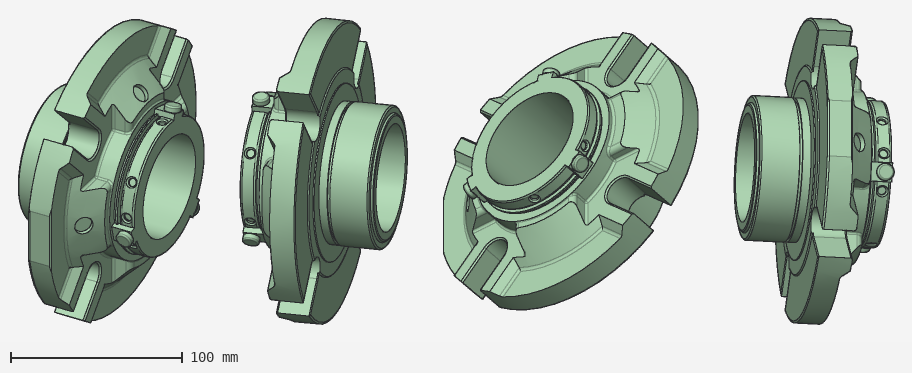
import cadquery as cq
import math


bore_radius = 63.5 / 2
sleeve_radius = 66.65 / 2
nose_face_radius = 36.4
nose_radius = 76.17 / 2
nose_lip_radius = 74.6 / 2
nose_lip_x = 0.4
barrel_start = 1.6
barrel_radius = 84.45 / 2
barrel_chamfer = 0.9
ring_groove_start = 25.0
ring_groove_width = 1.7
ring_groove_radius = 81.1 / 2
rear_barrel_radius = 84.12 / 2

inner_step_x = 31.6
inner_step_radius = 104.78 / 2
outer_step_x = 32.4
outer_step_radius = 61.5
outer_step_chamfer = 0.8
flange_back_x = 33.2
flange_front_x = 48.3
flange_radius = 177.55 / 2
flat_distance = 175.92 - flange_radius
flat_chamfer = 1.0
back_chamfer_depth = 1.2
back_chamfer_width = 0.5

bolt_angles = [45, 135, 225, 315]
slot_width = 18.0
slot_centre_radius = 64.2
lug_top_x = 53.6
lug_top_width = 36.6
slot_chamfer = 1.0
foot_fillet = 3.0

hub_radius = 48.2
hub_end_x = 66.0
cone_radius_at_lug_top = 65.0
arm_width = 43.6
arm_corner_radius = 3.5
pocket_fillet = 1.5
hub_core_radius = 30.0
arm_ends = {0: 62.0, 90: 65.2, 180: 65.4, 270: 65.8}

port_diameter = 11.0
port_depth = 3.0
side_port_x = 56.5
top_port_x = 60.3

neck_radius = 85.67 / 2
rim_radius = 87.2 / 2
rim_start_x = 67.4
rim_end_x = 68.6
collar_start_x = 69.8
collar_end_x = 79.1
collar_radius = 85.67 / 2
collar_chamfer_length = 1.2
collar_chamfer_drop = 0.5
collar_middle_x = (collar_start_x + collar_end_x) / 2

set_screw_angles = [30, 90, 150, 180, 210, 270, 330]
set_screw_diameter = 4.92
set_screw_depth = 2.2
countersink_diameter = 7.0

clip_angles = [75, 195, 315]
clip_width = 11.2
clip_inner = 42.0
clip_outer = 46.0
clip_screw_radius = 5.0
clip_screw_top = 49.7
clip_screw_round = 1.0
clip_screw_x = 79.8 - clip_screw_radius


def turned(profile):
    """Solid of revolution about X from (x, radius) points."""
    return cq.Workplane("XY").polyline(profile).close().revolve(360, (0, 0, 0), (1, 0, 0))


def about_axis(shape, angle):
    """Turn a shape about X; a feature on +Y at 0 degrees is on +Z at 90."""
    return shape.rotate((0, 0, 0), (1, 0, 0), angle)


def disc(start, end, radius):
    return cq.Workplane("YZ", origin=(start, 0, 0)).circle(radius).extrude(end - start)


def block(start, end, inner, outer, width):
    """Box on the +Y side from the inner to the outer distance, centred on Z."""
    return cq.Workplane("XY").box(end - start, outer - inner, width, centered=False).translate(
        (start, inner, -width / 2)
    )


def radial_cylinder(x, inner, outer, radius):
    """Cylinder along +Y from the inner to the outer distance."""
    return cq.Workplane("XZ", origin=(x, inner, 0)).circle(radius).extrude(inner - outer)


def make_sleeve():
    groove_end = ring_groove_start + ring_groove_width
    return turned([
        (0, 0),
        (0, nose_face_radius),
        (nose_lip_x, nose_lip_radius),
        (barrel_start, nose_radius),
        (barrel_start, barrel_radius - barrel_chamfer),
        (barrel_start + barrel_chamfer, barrel_radius),
        (ring_groove_start, barrel_radius),
        (ring_groove_start, ring_groove_radius),
        (groove_end, ring_groove_radius),
        (groove_end, rear_barrel_radius),
        (flange_back_x, rear_barrel_radius),
        (flange_back_x, sleeve_radius),
        (collar_end_x, sleeve_radius),
        (collar_end_x, 0),
    ])


def slot_outline(x, half_width):
    """Outline of the +Y slot at a station along X, running out past the flange rim."""
    open_end = 2 * flange_radius
    return (
        cq.Workplane("YZ", origin=(x, 0, 0))
        .moveTo(open_end, -half_width)
        .lineTo(slot_centre_radius, -half_width)
        .threePointArc((slot_centre_radius - half_width, 0), (slot_centre_radius, half_width))
        .lineTo(open_end, half_width)
        .close()
    )


def bolt_slot():
    """Open-ended slot on the +Y side through the whole gland, chamfered at the lug top."""
    straight = slot_outline(inner_step_x, slot_width / 2).extrude(lug_top_x - inner_step_x)
    mouth = slot_outline(lug_top_x - slot_chamfer, slot_width / 2).extrude(slot_chamfer, taper=-45)
    return straight.union(mouth)


def cut_bolt_slots(body):
    for angle in bolt_angles:
        body = body.cut(about_axis(bolt_slot(), angle))
    return body


def make_flange():
    plate = disc(flange_back_x, flange_front_x, flange_radius)
    flat_cutter = block(flange_back_x, flange_front_x, flat_distance, 2 * flange_radius, 2 * flange_radius)
    plate = plate.cut(about_axis(flat_cutter, 180))
    plate = plate.faces("<Y").edges(">X").chamfer(flat_chamfer)
    plate = cut_bolt_slots(plate)
    return plate.faces("<X").chamfer(back_chamfer_depth, back_chamfer_width)


def make_back_steps():
    steps = turned([
        (inner_step_x, 0),
        (inner_step_x, inner_step_radius),
        (outer_step_x, inner_step_radius),
        (outer_step_x, outer_step_radius - outer_step_chamfer),
        (flange_back_x, outer_step_radius),
        (flange_front_x, outer_step_radius),
        (flange_front_x, 0),
    ])
    return cut_bolt_slots(steps)


def foot_points(corner_distance):
    """Start, middle and end of the foot fillet, as (x, distance) points.

    corner_distance is where the sharp 45 degree slope would meet the flange face."""
    half_turn = math.radians(22.5)
    lead = foot_fillet * math.tan(half_turn)
    gap = foot_fillet * (1 / math.cos(half_turn) - 1)
    start = (flange_front_x, corner_distance + lead)
    middle = (
        flange_front_x + gap * math.cos(half_turn),
        corner_distance + gap * math.sin(half_turn),
    )
    end = (
        flange_front_x + lead * math.cos(2 * half_turn),
        corner_distance - lead * math.sin(2 * half_turn),
    )
    return start, middle, end


def make_lug():
    """Raised pad around one slot, with 45 degree flanks, trimmed to the flange rim."""
    half_top = lug_top_width / 2
    start, middle, end = foot_points(half_top + lug_top_x - flange_front_x)
    half_pad = (
        cq.Workplane("XZ")
        .moveTo(flange_front_x, 0)
        .lineTo(*start)
        .threePointArc(middle, end)
        .lineTo(lug_top_x, half_top)
        .lineTo(lug_top_x, 0)
        .close()
        .extrude(-flange_radius)
    )
    pad = half_pad.union(half_pad.mirror("XY"))
    pad = pad.intersect(disc(flange_front_x, lug_top_x, flange_radius))
    pad = pad.cut(block(flange_front_x, lug_top_x, 0, hub_radius, 2 * flange_radius))
    return pad.cut(bolt_slot())


def cone_radius(x):
    return cone_radius_at_lug_top + lug_top_x - x


def make_cone_blank():
    """Whole 45 degree hub cone, blended into the flange face."""
    start, middle, end = foot_points(cone_radius(flange_front_x))
    return (
        cq.Workplane("XY")
        .moveTo(flange_back_x, hub_core_radius)
        .lineTo(flange_back_x, inner_step_radius)
        .lineTo(flange_front_x, inner_step_radius)
        .lineTo(*start)
        .threePointArc(middle, end)
        .lineTo(hub_end_x, cone_radius(hub_end_x))
        .lineTo(hub_end_x, hub_core_radius)
        .close()
        .revolve(360, (0, 0, 0), (1, 0, 0))
    )


def arm_keeper(end_x):
    """Round-cornered slab on the +Y side covering the cone quadrant that is left standing."""
    slab = block(flange_front_x, end_x, hub_core_radius, flange_radius, arm_width)
    return slab.edges("|Y and >X").fillet(arm_corner_radius)


def is_pocket_root(edge):
    """True for the inside corners of the bolt pockets: around the core and below the arm walls."""
    tolerance = 0.01
    points = [edge.positionAt(part) for part in (0, 0.3, 0.7, 1)]
    behind_end = any(point.x < hub_end_x - tolerance for point in points)
    past_floor = all(point.x > lug_top_x - tolerance for point in points)
    on_floor = all(abs(point.x - lug_top_x) < tolerance for point in points)
    on_core = all(abs(math.hypot(point.y, point.z) - hub_radius) < tolerance for point in points)
    straight = edge.geomType() == "LINE"
    if on_core:
        return behind_end and past_floor
    return on_floor and straight


def make_hub():
    waste = disc(lug_top_x, hub_end_x, flange_radius).cut(disc(lug_top_x, hub_end_x, hub_radius))
    for angle, end_x in arm_ends.items():
        waste = waste.cut(about_axis(arm_keeper(end_x), angle))
    hub = make_cone_blank().cut(waste)
    roots = [edge for edge in hub.edges().vals() if is_pocket_root(edge)]
    hub = cut_bolt_slots(hub.newObject(roots).fillet(pocket_fillet))
    hub = hub.cut(about_axis(port_hole(side_port_x), 180))
    return hub.cut(about_axis(port_hole(top_port_x), 90))


def port_hole(x):
    """Blind hole entering the cone at right angles on the +Y side."""
    entry = (x, cone_radius(x), 0)
    inward = (-1, -1, 0)
    hole = cq.Workplane(cq.Plane(origin=entry, xDir=(0, 0, 1), normal=inward))
    return hole.circle(port_diameter / 2).extrude(port_depth).union(
        hole.circle(port_diameter / 2).extrude(-port_depth)
    )


def make_neck():
    return disc(hub_end_x, rim_start_x, neck_radius).union(disc(rim_start_x, rim_end_x, rim_radius))


def make_collar():
    edge_radius = collar_radius - collar_chamfer_drop
    collar = turned([
        (collar_start_x, 0),
        (collar_start_x, edge_radius),
        (collar_start_x + collar_chamfer_length, collar_radius),
        (collar_end_x - collar_chamfer_length, collar_radius),
        (collar_end_x, edge_radius),
        (collar_end_x, 0),
    ])
    for angle in set_screw_angles:
        collar = collar.cut(about_axis(set_screw_hole(), angle))
    return collar


def set_screw_hole():
    """Countersunk blind hole on the +Y side of the collar."""
    hole_radius = set_screw_diameter / 2
    sink_radius = countersink_diameter / 2
    hole = radial_cylinder(collar_middle_x, collar_radius - set_screw_depth, 2 * collar_radius, hole_radius)
    mouth = cq.Vector(collar_middle_x, collar_radius, 0)
    sink = cq.Solid.makeCone(sink_radius, hole_radius, sink_radius - hole_radius, mouth, cq.Vector(0, -1, 0))
    return hole.union(cq.Workplane(sink))


def make_clip():
    """Setting clip bridging the hub and the collar, with its cap screw."""
    clip = block(hub_end_x, collar_end_x, clip_inner, clip_outer, clip_width)
    head = radial_cylinder(clip_screw_x, clip_outer, clip_screw_top, clip_screw_radius)
    return clip.union(head.faces(">Y").edges().fillet(clip_screw_round))


body = make_sleeve().union(make_back_steps()).union(make_flange())
for bolt_angle in bolt_angles:
    body = body.union(about_axis(make_lug(), bolt_angle))
body = body.union(make_hub()).union(make_neck()).union(make_collar())
for clip_angle in clip_angles:
    body = body.union(about_axis(make_clip(), clip_angle))
result = body.cut(disc(0, collar_end_x, bore_radius))